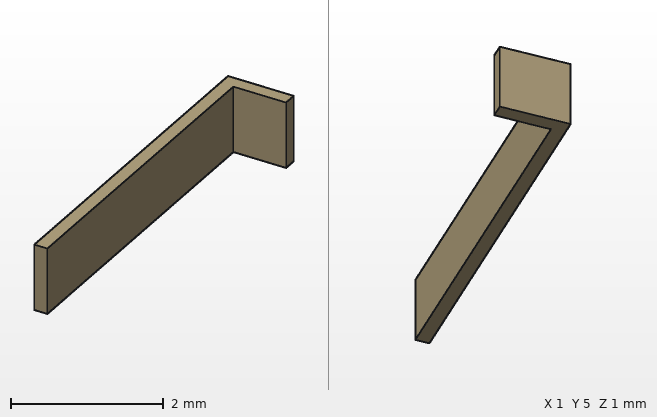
import cadquery as cq

long_leg_length = 5.0
short_leg_length = 1.0
strip_width = 1.0
thickness = 0.2


def angle_strip():
    """L-shaped strip: long leg along Y, short leg toward +X at the +Y end."""
    inner_face_y = long_leg_length - thickness
    outline = [
        (0, 0),
        (thickness, 0),
        (thickness, inner_face_y),
        (short_leg_length, inner_face_y),
        (short_leg_length, long_leg_length),
        (0, long_leg_length),
    ]
    return cq.Workplane("XY").polyline(outline).close().extrude(strip_width)


result = angle_strip()